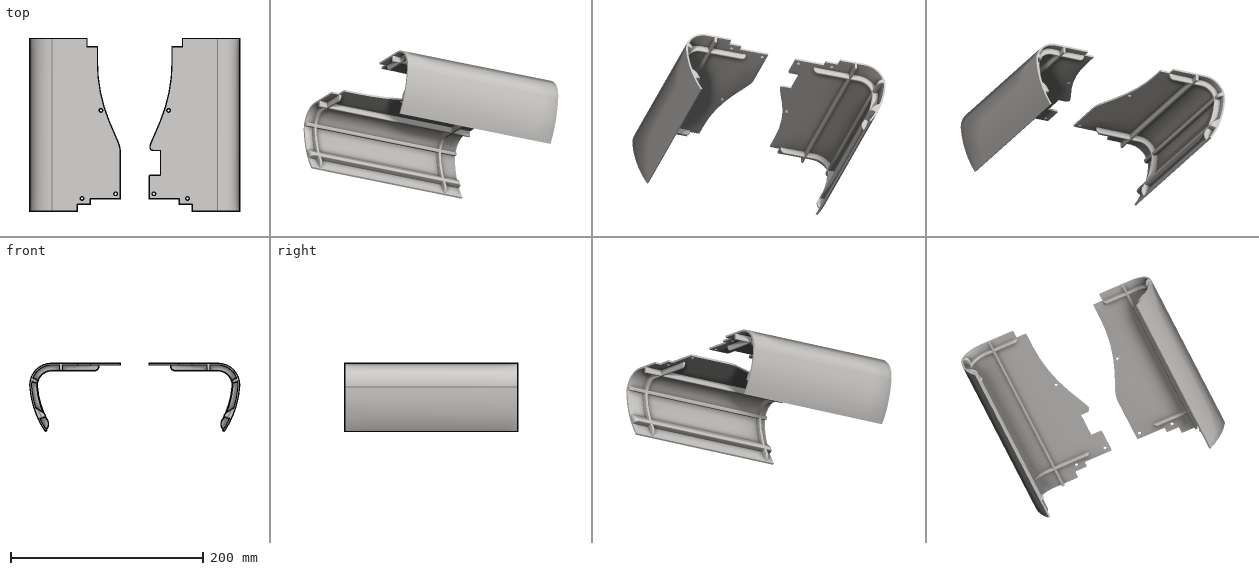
import cadquery as cq
import math

HALF_WIDTH = 109.2
LENGTH = 180.0
HEIGHT = 71.2
SKIN = 2.0

SHOULDER_R = 23.0
SIDE_R = 96.7
JOINT_ANGLE = math.radians(4.4)
SHOULDER_X = -HALF_WIDTH + SHOULDER_R
SHOULDER_Z = -SHOULDER_R
SIDE_X = SHOULDER_X + (SIDE_R - SHOULDER_R) * math.cos(JOINT_ANGLE)
SIDE_Z = SHOULDER_Z + (SIDE_R - SHOULDER_R) * math.sin(JOINT_ANGLE)
TIP_ANGLE = math.asin((SIDE_Z + HEIGHT) / SIDE_R)
SHOULDER_MID_ANGLE = (JOINT_ANGLE - math.pi / 2) / 2

INNER_X = -14.8
WAIST_X = -38.7
EDGE_SLANT = math.radians(22.5)
WAIST_R = 160.5
WAIST_END_Y = 155.0
BULGE_R = 31.5
BULGE_END_Y = 60.3
FRONT_STEPS = [(-59.6, 7.5), (-46.0, 13.0)]
REAR_STEP = (-49.5, 171.5)

HOLE_D = 3.5
HOLES = [(-35.2, 105.0), (-19.9, 18.3), (-54.8, 13.5)]

NOTCH_X = 26.6
NOTCH_FRONT_Y = 37.8
NOTCH_REAR_Y = 63.3
NOTCH_FRONT_R = 1.7
NOTCH_REAR_R = 3.5

RIB_DEPTH = 6.1
RIB_T = 2.6
RIB_EDGE_R = 0.9
FRAMES = [(19.7, -37.1), (168.5, REAR_STEP[0])]
FRAME_END_R = 4.8
FRAME_FOOT_ANGLE = math.radians(27.5)
FRAME_TIP_ANGLE = TIP_ANGLE - math.radians(0.5)
FRAME_FOOT_R = 1.7
FRAME_FOOT_MID = (-89.8, -65.7)
TOP_RIB_X = -76.7
SHOULDER_RIB = [(-106.8, -14.2), (-100.7, -18.0), (-101.8, -21.0), (-108.0, -19.2)]
SIDE_RIB = [(-104.8, -44.8), (-94.0, -52.2), (-92.2, -55.7), (-99.5, -58.3)]
RIB_NOSE_R = 4.4


def shoulder_point(depth, angle):
    """Point of the shoulder arc at a depth below the surface, angle down from horizontal."""
    radius = SHOULDER_R - depth
    return SHOULDER_X - radius * math.cos(angle), SHOULDER_Z - radius * math.sin(angle)


def side_point(depth, angle):
    """Point of the side wall arc at a depth below the surface, angle down from horizontal."""
    radius = SIDE_R - depth
    return SIDE_X - radius * math.cos(angle), SIDE_Z - radius * math.sin(angle)


def path_down(depth, end_x, end_angle):
    """Open section line at a depth, from the flat top round and down the side wall."""
    mid_angle = (JOINT_ANGLE + end_angle) / 2
    return (
        cq.Workplane("XZ")
        .moveTo(end_x, -depth)
        .lineTo(SHOULDER_X, -depth)
        .threePointArc(shoulder_point(depth, SHOULDER_MID_ANGLE), side_point(depth, JOINT_ANGLE))
        .threePointArc(side_point(depth, mid_angle), side_point(depth, end_angle))
    )


def path_back(path, depth, start_angle):
    """Continue a section line up the side wall and round to the flat top."""
    mid_angle = (JOINT_ANGLE + start_angle) / 2
    return (
        path
        .threePointArc(side_point(depth, mid_angle), side_point(depth, JOINT_ANGLE))
        .threePointArc(shoulder_point(depth, SHOULDER_MID_ANGLE), (SHOULDER_X, -depth))
    )


def skin():
    outer = path_down(0, INNER_X, TIP_ANGLE).lineTo(*side_point(SKIN, TIP_ANGLE))
    return path_back(outer, SKIN, TIP_ANGLE).lineTo(INNER_X, -SKIN).close().extrude(-LENGTH)


def top_outline():
    """Plan of the whole cover, with the stepped and curved inner edge, as a tall block."""
    bulge_x = INNER_X - BULGE_R * (1 - math.cos(EDGE_SLANT))
    bulge_y = BULGE_END_Y + BULGE_R * math.sin(EDGE_SLANT)
    bulge_mid = (
        INNER_X - BULGE_R * (1 - math.cos(EDGE_SLANT / 2)),
        BULGE_END_Y + BULGE_R * math.sin(EDGE_SLANT / 2),
    )
    waist_mid = (
        WAIST_X + WAIST_R * (1 - math.cos(EDGE_SLANT / 2)),
        WAIST_END_Y - WAIST_R * math.sin(EDGE_SLANT / 2),
    )
    waist_x = WAIST_X + WAIST_R * (1 - math.cos(EDGE_SLANT))
    waist_y = WAIST_END_Y - WAIST_R * math.sin(EDGE_SLANT)
    (step1_x, step1_y), (step2_x, step2_y) = FRONT_STEPS
    return (
        cq.Workplane("XY", origin=(0, 0, -HEIGHT))
        .moveTo(-HALF_WIDTH, 0)
        .lineTo(step1_x, 0)
        .lineTo(step1_x, step1_y)
        .lineTo(step2_x, step1_y)
        .lineTo(step2_x, step2_y)
        .lineTo(INNER_X, step2_y)
        .lineTo(INNER_X, BULGE_END_Y)
        .threePointArc(bulge_mid, (bulge_x, bulge_y))
        .lineTo(waist_x, waist_y)
        .threePointArc(waist_mid, (WAIST_X, WAIST_END_Y))
        .lineTo(WAIST_X, REAR_STEP[1])
        .lineTo(*REAR_STEP)
        .lineTo(REAR_STEP[0], LENGTH)
        .lineTo(-HALF_WIDTH, LENGTH)
        .close()
        .extrude(HEIGHT)
    )


def frame_rib(front_y, end_x):
    """Crosswise rib that follows the inside of the section, its inner edges rounded."""
    depth = SKIN + RIB_DEPTH
    foot = side_point(depth, FRAME_FOOT_ANGLE)
    root = path_down(SKIN / 2, end_x, FRAME_TIP_ANGLE).threePointArc(FRAME_FOOT_MID, foot)
    rib = (
        path_back(root, depth, FRAME_FOOT_ANGLE)
        .lineTo(end_x - FRAME_END_R, -depth)
        .radiusArc((end_x, -depth + FRAME_END_R), -FRAME_END_R)
        .close()
        .extrude(-RIB_T)
    )
    corner = cq.selectors.NearestToPointSelector((foot[0], RIB_T / 2, foot[1]))
    rib = rib.edges("|Y").edges(corner).fillet(FRAME_FOOT_R)
    middle_x = (SHOULDER_X + end_x) / 2
    front_edge = cq.selectors.NearestToPointSelector((middle_x, 0, -depth))
    rear_edge = cq.selectors.NearestToPointSelector((middle_x, RIB_T, -depth))
    rib = rib.edges(front_edge + rear_edge).fillet(RIB_EDGE_R)
    return rib.translate((0, front_y, 0))


def top_rib():
    """Lengthwise rib under the flat top, its lower edges rounded."""
    rib = cq.Workplane("XY").box(
        RIB_T, LENGTH, SKIN / 2 + RIB_DEPTH, centered=(True, False, False)
    ).translate((TOP_RIB_X, 0, -SKIN - RIB_DEPTH))
    return rib.faces("<Z").edges("|Y").fillet(RIB_EDGE_R)


def wedge_rib(section):
    """Lengthwise rib of wedge section, its tip rounded at both ends and along its edges."""
    rib = cq.Workplane("XZ").polyline(section).close().extrude(-LENGTH)
    tip_top, tip_bottom = section[1], section[2]
    tip_x = (tip_top[0] + tip_bottom[0]) / 2
    tip_z = (tip_top[1] + tip_bottom[1]) / 2
    for end_y in (0, LENGTH):
        tip_edge = cq.selectors.NearestToPointSelector((tip_x, end_y, tip_z))
        rib = rib.edges(tip_edge).fillet(RIB_NOSE_R)
    for edge_x, edge_z in (tip_top, tip_bottom):
        long_edge = cq.selectors.NearestToPointSelector((edge_x, LENGTH / 2, edge_z))
        rib = rib.edges(long_edge).fillet(RIB_EDGE_R)
    return rib


def left_cover():
    body = skin().intersect(top_outline())
    for front_y, end_x in FRAMES:
        body = body.union(frame_rib(front_y, end_x))
    body = body.union(top_rib())
    for section in (SHOULDER_RIB, SIDE_RIB):
        body = body.union(wedge_rib(section))
    holes = cq.Workplane("XY").pushPoints(HOLES).circle(HOLE_D / 2).extrude(-SKIN)
    return body.cut(holes)


def right_cover():
    """Mirrored left cover with a notch in its inner edge."""
    notch = cq.Workplane("XY", origin=(0, 0, -SKIN)).box(
        NOTCH_X, NOTCH_REAR_Y - NOTCH_FRONT_Y, SKIN, centered=False
    ).translate((0, NOTCH_FRONT_Y, 0))
    body = left_cover().mirror("YZ").cut(notch)
    for corner_y, radius in ((NOTCH_FRONT_Y, NOTCH_FRONT_R), (NOTCH_REAR_Y, NOTCH_REAR_R)):
        corner = cq.selectors.NearestToPointSelector((-INNER_X, corner_y, -SKIN / 2))
        body = body.edges("|Z").edges(corner).fillet(radius)
    return body


result = cq.Compound.makeCompound([left_cover().solids().val(), right_cover().solids().val()])